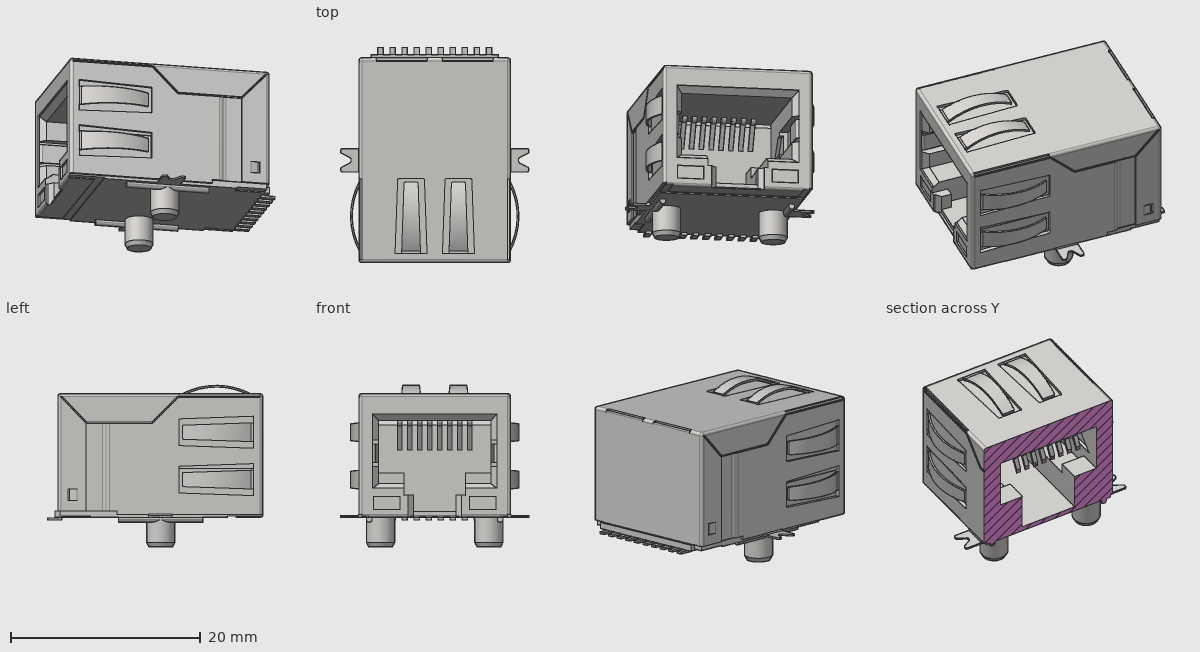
import cadquery as cq
import math


shell_width = 16.0
shell_depth = 21.63
shell_top = 13.04
shell_bottom = 0.30
shell_half = shell_width / 2
edge_radius = 0.32

eps = 0.05
overrun = 1.0

base_width = 15.4
base_half = base_width / 2
rear_relief_start = 15.4
rear_relief_height = 0.67
flange_half = 6.72
flange_back = 21.95
underside_step = 0.13
rear_step_start = 18.2
rear_step_end = 21.4
front_notch_start = 2.85
front_notch_end = 3.75
front_corner_half = 7.0
front_round = 0.27

mouth_half, mouth_low, mouth_high = 6.55, 3.06, 10.90
cavity_half, cavity_low, cavity_high = 5.92, 3.54, 10.19
face_plate = 0.20
mouth_taper = 0.60
mouth_depth = face_plate + mouth_taper
cavity_depth = 13.0
shelf_step_start = 10.0
shelf_step_top = 4.66
wall_chamfer = 0.47

channel_half = 3.22
channel_mouth_half = 2.83
keeper_half = 2.24
keeper_top = 2.33
keeper_lead_in = 0.70
keeper_depth = 1.80
channel_floor = 0.60
sill_top = 0.13
sill_setback = 0.45

groove_mid = 6.75
groove_height = 2.80
groove_half = 6.80
groove_end = 8.0
leaf_height = 2.00
leaf_half = 6.25
leaf_end = 3.60
leaf_thickness = 0.20
recess_half = 6.30
recess_top_end, recess_low_end = 9.0, 11.0

light_inner, light_outer = 3.66, 6.48
light_low, light_high = 0.83, 2.21

contact_count = 8
contact_pitch = 1.054
contact_width = 0.49
contact_thickness = 0.35
contact_low = 7.02
contact_slope_angle = 60
contact_nose_radius = 0.58

finger_spacing = 5.0
finger_side_low = 3.97
window_front, window_back = 0.98, 8.88
window_front_width, window_back_width = 3.38, 2.82
window_depth = 0.30
window_corner = 0.15
finger_arc_start, finger_tip = 1.24, 8.50
finger_front_width, finger_tip_width = 2.0, 1.48
finger_thickness = 0.20
finger_rise = 0.89
finger_radius = 7.65
finger_peak_y = 4.90
side_recess_top = 5.12
side_recess_depth = 0.45

fold_back, fold_front = 21.35, 8.85
fold_low_back, fold_low_front = 18.65, 11.67
fold_high = 12.72
fold_low = 9.90
seam_width = 0.14
seam_depth = 0.10
edge_gap_inner, edge_gap_outer = 7.70, 7.86
jog_back, jog_flat_end, jog_end = 18.65, 16.93, 16.20
jog_depth = 0.20

side_latch_front, side_latch_back = 19.60, 20.58
side_latch_low, side_latch_high = 1.76, 2.98
side_latch_depth = 0.30
side_latch_gap = 0.16

hook_inner, hook_outer = 0.75, 6.20
hook_front = 21.24
hook_taper = 0.08
hook_slot = 0.12
hook_drop = 0.14
hook_round = 0.10

tab_reach = 9.925
tab_front, tab_back = 9.57, 12.05
tab_thickness = 0.18
tab_root = 1.0
tab_bend = 0.07
tab_corner = 0.18
tab_notch_depth = 1.08
tab_notch_width = 1.56
tab_notch_radius = 0.22

peg_diameter = 3.0
peg_x = 5.715
peg_y = 10.78
peg_bottom = -3.13
peg_chamfer_height = 0.48
peg_chamfer_width = 0.25
rib_x = 6.91
rib_width = 0.60
rib_bottom = -0.53
rib_front, rib_back = 6.33, 15.26
lead_count = 10
lead_pitch = 1.27
lead_width = 0.60
lead_top, lead_bottom = -0.07, -0.29
lead_inner, lead_tip = 21.20, 22.72
lead_post = 0.30


def block(x0, x1, y0, y1, z0, z1):
    """Axis-aligned box between opposite corners."""
    size = (x1 - x0, y1 - y0, z1 - z0)
    return cq.Workplane("XY").box(*size, centered=False).translate((x0, y0, z0))


def both_sides(shape):
    """The shape together with its mirror image across X = 0."""
    return shape.union(shape.mirror("YZ"))


def plan_prism(points, z0, z1):
    """Prism standing on an XY outline."""
    return cq.Workplane("XY").workplane(offset=z0).polyline(points).close().extrude(z1 - z0)


def profile_prism(points, x0, x1):
    """Prism along X on a YZ outline."""
    return cq.Workplane("YZ").workplane(offset=x0).polyline(points).close().extrude(x1 - x0)


def make_body():
    shell = block(-shell_half, shell_half, 0, shell_depth, shell_bottom, shell_top)
    shell = shell.edges("|Z or >Z").fillet(edge_radius)
    relief = block(flange_half, shell_half + overrun, rear_relief_start,
                   shell_depth + overrun, -overrun, rear_relief_height)
    base = block(-base_half, base_half, 0, shell_depth - edge_radius, 0, shell_bottom + eps)
    base = base.edges("|X and <Y and <Z").fillet(front_round)
    body = shell.union(base)
    strip = block(flange_half - eps, base_half, rear_relief_start - eps, rear_step_end,
                  0, rear_relief_height + eps)
    flange = block(-flange_half, flange_half, rear_relief_start, flange_back, 0, rear_relief_height)
    body = body.cut(both_sides(relief)).union(both_sides(strip)).union(flange)
    rear_step = block(flange_half, shell_half, rear_step_start, rear_step_end, -overrun, underside_step)
    corner = block(front_corner_half, shell_half, 0, front_notch_end, -overrun, underside_step)
    notch = block(-shell_half, shell_half, front_notch_start, front_notch_end, -overrun, underside_step)
    return body.cut(both_sides(rear_step.union(corner))).cut(notch)


def cut_cavity(body):
    def rectangle(half, low, high, y):
        plane = cq.Workplane("XZ", origin=(0, y, (low + high) / 2))
        return plane.rect(2 * half, high - low)

    mouth = rectangle(mouth_half, mouth_low, mouth_high, face_plate)
    inner_shift = (cavity_low + cavity_high - mouth_low - mouth_high) / 2
    mouth = mouth.workplane(offset=-mouth_taper).center(0, inner_shift)
    mouth = mouth.rect(2 * cavity_half, cavity_high - cavity_low).loft(ruled=True)
    plate_opening = block(-mouth_half, mouth_half, 0, face_plate, mouth_low, mouth_high)
    mouth = mouth.union(plate_opening)
    cavity = block(-cavity_half, cavity_half, mouth_depth - eps, cavity_depth, cavity_low, cavity_high)
    shelf_step = block(channel_half, cavity_half, shelf_step_start, cavity_depth, cavity_low, shelf_step_top)
    cavity = cavity.cut(both_sides(shelf_step))
    wall_slope = [
        (cavity_depth, cavity_high),
        (cavity_depth, cavity_high - wall_chamfer),
        (cavity_depth + wall_chamfer, cavity_high),
    ]
    cavity = cavity.union(profile_prism(wall_slope, -cavity_half, cavity_half))
    channel = block(-channel_half, channel_half, 0, cavity_depth, channel_floor, cavity_low + eps)
    sill = block(-channel_half, channel_half, 0, keeper_lead_in, sill_top, channel_floor + eps)
    entry = block(-channel_half, channel_half, 0, sill_setback, 0, sill_top + eps)
    keeper = plan_prism(
        [
            (channel_half, 0),
            (channel_mouth_half, 0),
            (channel_mouth_half, face_plate),
            (keeper_half, keeper_lead_in),
            (keeper_half, keeper_depth),
            (channel_half, keeper_depth),
        ],
        0,
        keeper_top,
    )
    channel = channel.union(sill).union(entry).cut(both_sides(keeper))
    return body.cut(mouth).cut(cavity).cut(channel)


def make_side_grooves(body):
    """Groove beside the plug, a grounding leaf curling into it, and a slant-ended recess behind."""
    low = groove_mid - groove_height / 2
    leaf_low = groove_mid - leaf_height / 2
    leaf_high = groove_mid + leaf_height / 2
    groove = block(cavity_half - eps, groove_half, face_plate, groove_end, low, low + groove_height)
    recess = profile_prism(
        [
            (groove_end - eps, leaf_low),
            (recess_low_end, leaf_low),
            (recess_top_end, leaf_high),
            (groove_end - eps, leaf_high),
        ],
        cavity_half - eps,
        recess_half,
    )
    bend = mouth_half - leaf_half
    leaf = (
        cq.Workplane("XY")
        .workplane(offset=leaf_low)
        .moveTo(groove_half + eps, face_plate - eps)
        .lineTo(groove_half + eps, face_plate + leaf_thickness)
        .lineTo(mouth_half, face_plate + leaf_thickness)
        .lineTo(leaf_half + leaf_thickness, face_plate + bend)
        .lineTo(leaf_half + leaf_thickness, leaf_end + leaf_thickness)
        .lineTo(leaf_half, leaf_end)
        .lineTo(leaf_half, face_plate - eps + bend)
        .tangentArcPoint((mouth_half, face_plate - eps), relative=False)
        .close()
        .extrude(leaf_height)
    )
    return body.cut(both_sides(groove.union(recess))).union(both_sides(leaf))


def cut_light_windows(body):
    window = block(light_inner, light_outer, 0, face_plate, light_low, light_high)
    return body.cut(both_sides(window))


def add_contacts(body):
    wall = cavity_depth + eps
    root = cavity_high + eps
    nose_low = cavity_high - contact_nose_radius
    slope_start = wall - (nose_low - contact_low) / math.tan(math.radians(contact_slope_angle))
    nose_front = slope_start - contact_nose_radius
    diagonal = contact_nose_radius * math.sqrt(0.5)
    profile = (
        cq.Workplane("YZ")
        .moveTo(nose_front, root)
        .lineTo(nose_front, cavity_high)
        .threePointArc((slope_start - diagonal, cavity_high - diagonal), (slope_start, nose_low))
        .lineTo(wall, contact_low)
        .lineTo(wall, contact_low + contact_thickness)
        .lineTo(slope_start + contact_thickness, nose_low)
        .lineTo(slope_start + contact_thickness, root)
        .close()
    )
    contact = profile.extrude(contact_width / 2, both=True)
    first = -contact_pitch * (contact_count - 1) / 2
    for index in range(contact_count):
        body = body.union(contact.translate((first + index * contact_pitch, 0, 0)))
    return body


def taper_outline(y0, y1, front_width, back_width):
    return [
        (-front_width / 2, y0),
        (front_width / 2, y0),
        (back_width / 2, y1),
        (-back_width / 2, y1),
    ]


def finger_window():
    """Tapered window cutter, its outer surface at Z = 0."""
    outline = taper_outline(window_front, window_back, window_front_width, window_back_width)
    return plan_prism(outline, -window_depth, eps).edges("|Z and >Y").fillet(window_corner)


def finger():
    """Bowed spring finger rooted at the front end of its window, shell surface at Z = 0."""
    centre_z = finger_rise - finger_radius
    inner_radius = finger_radius - finger_thickness

    def on_arc(radius, y):
        return (y, centre_z + math.sqrt(radius**2 - (y - finger_peak_y) ** 2))

    outer_start = on_arc(finger_radius, finger_arc_start)
    inner_start = on_arc(inner_radius, finger_arc_start)
    root = window_front - eps
    strip = (
        cq.Workplane("YZ")
        .moveTo(root, outer_start[1])
        .lineTo(*outer_start)
        .threePointArc(on_arc(finger_radius, finger_peak_y), on_arc(finger_radius, finger_tip))
        .lineTo(*on_arc(inner_radius, finger_tip))
        .threePointArc(on_arc(inner_radius, finger_peak_y), inner_start)
        .lineTo(root, inner_start[1])
        .close()
        .extrude(window_front_width / 2, both=True)
    )
    outline = taper_outline(root, finger_tip, finger_front_width, finger_tip_width)
    blank = plan_prism(outline, -overrun, finger_rise + overrun).edges("|Z and >Y").fillet(window_corner)
    return strip.intersect(blank)


def place_fingers(shape):
    """Copies of a finger shape for the top and both sides."""
    on_top = shape.translate((finger_spacing / 2, 0, shell_top))
    on_side = shape.rotate((0, 0, 0), (0, 1, 0), 90)
    lower = on_side.translate((shell_half, 0, finger_side_low))
    upper = lower.translate((0, 0, finger_spacing))
    return [both_sides(placed) for placed in (on_top, lower, upper)]


def add_fingers(body):
    for window in place_fingers(finger_window()):
        body = body.cut(window)
    half_front = window_front_width / 2
    recess = block(shell_half - side_recess_depth, shell_half, window_front, window_back,
                   finger_side_low - half_front, side_recess_top)
    lower_window = place_fingers(finger_window().translate((0, 0, window_depth - side_recess_depth)))[1]
    body = body.cut(lower_window.intersect(both_sides(recess)))
    for spring in place_fingers(finger()):
        body = body.union(spring)
    return body


def cut_fold_seams(body):
    """Outline the folded-down side flap and part the top panel from the side ahead of it."""
    inside = shell_half - seam_depth
    outer = [
        (fold_back, fold_high),
        (fold_low_back, fold_low),
        (fold_low_front, fold_low),
        (fold_front, fold_high),
    ]
    slope_shift = seam_width * math.sqrt(2)
    corner_shift = slope_shift - seam_width
    inner = [
        (fold_back - slope_shift, fold_high),
        (fold_low_back - corner_shift, fold_low + seam_width),
        (fold_low_front + corner_shift, fold_low + seam_width),
        (fold_front + slope_shift, fold_high),
    ]
    seam = profile_prism(outer, inside, shell_half + eps).cut(profile_prism(inner, inside, shell_half + eps))
    top_seam = block(inside, shell_half + eps, edge_radius, fold_front,
                     fold_high - seam_width / 2, fold_high + seam_width / 2)
    edge_gap = block(edge_gap_inner, edge_gap_outer, edge_radius, fold_front,
                     shell_top - edge_radius, shell_top)
    return body.cut(both_sides(seam.union(top_seam).union(edge_gap)))


def cut_panel_jog(body):
    """Set the side panel inward with an S-bend, under the edge of the rear panel."""
    floor = shell_half - jog_depth
    bend = (jog_flat_end - jog_end) / 2
    middle = (shell_half - jog_depth / 2, jog_flat_end - bend)
    jog = (
        cq.Workplane("XY")
        .workplane(offset=rear_relief_height)
        .moveTo(shell_half, jog_back)
        .lineTo(floor, jog_back)
        .lineTo(floor, jog_flat_end)
        .tangentArcPoint(middle, relative=False)
        .tangentArcPoint((shell_half, jog_end), relative=False)
        .close()
        .extrude(fold_low - rear_relief_height)
    )
    return body.cut(both_sides(jog))


def cut_side_latches(body):
    floor = shell_half - side_latch_depth
    pocket = block(floor, shell_half, side_latch_front, side_latch_back, side_latch_low, side_latch_high)
    ramp = plan_prism(
        [
            (floor, side_latch_front),
            (shell_half, side_latch_front),
            (floor + side_latch_depth / 2, side_latch_back - side_latch_gap),
            (floor, side_latch_back - side_latch_gap),
        ],
        side_latch_low,
        side_latch_high,
    )
    return body.cut(both_sides(pocket.cut(ramp)))


def add_rear_hooks(body):
    top_low = shell_top - edge_radius
    slot = plan_prism(
        [
            (hook_inner, shell_depth),
            (hook_inner + hook_taper, hook_front),
            (hook_outer - hook_taper, hook_front),
            (hook_outer, shell_depth),
        ],
        top_low,
        shell_top,
    )
    hook = block(hook_inner, hook_outer, hook_front + hook_slot, shell_depth,
                 top_low - eps, shell_top - hook_drop)
    hook = hook.edges("|X and >Y and >Z").fillet(hook_round)
    return body.cut(both_sides(slot)).union(both_sides(hook))


def add_solder_tabs(body):
    middle = (tab_front + tab_back) / 2
    plate = block(base_half - tab_root, tab_reach, tab_front, tab_back, 0, tab_thickness)
    notch = plan_prism(
        [
            (tab_reach, middle - tab_notch_width / 2),
            (tab_reach, middle + tab_notch_width / 2),
            (tab_reach - tab_notch_depth, middle + tab_notch_radius),
            (tab_reach - tab_notch_depth, middle - tab_notch_radius),
        ],
        0,
        tab_thickness,
    )
    notch = notch.edges("|Z and <X").fillet(tab_notch_radius)
    plate = plate.cut(notch).edges("|Z and >X").fillet(tab_corner)
    bend = (
        cq.Workplane("XZ", origin=(0, tab_front, 0))
        .polyline([
            (base_half - eps, 0),
            (shell_half + tab_bend, 0),
            (shell_half + tab_bend, tab_thickness),
            (shell_half, shell_bottom + eps),
            (base_half - eps, shell_bottom + eps),
        ])
        .close()
        .extrude(tab_front - tab_back)
    )
    return body.union(both_sides(plate.union(bend)))


def add_pegs_and_ribs(body):
    peg = (
        cq.Workplane("XY", origin=(peg_x, peg_y, peg_bottom))
        .circle(peg_diameter / 2)
        .extrude(eps - peg_bottom)
        .faces("<Z")
        .chamfer(peg_chamfer_height, peg_chamfer_width)
    )
    rib_radius = rib_width / 2
    rib_axis = rib_bottom + rib_radius
    rib = (
        cq.Workplane("XZ", origin=(rib_x, rib_front, 0))
        .moveTo(-rib_radius, eps)
        .lineTo(-rib_radius, rib_axis)
        .threePointArc((0, rib_bottom), (rib_radius, rib_axis))
        .lineTo(rib_radius, eps)
        .close()
        .extrude(rib_front - rib_back)
    )
    return body.union(both_sides(peg.union(rib)))


def add_leads(body):
    first = -lead_pitch * (lead_count - 1) / 2
    for index in range(lead_count):
        left = first + index * lead_pitch - lead_width / 2
        right = left + lead_width
        foot = block(left, right, lead_inner, lead_tip, lead_bottom, lead_top)
        post = block(left, right, lead_inner, lead_inner + lead_post, lead_bottom, eps)
        body = body.union(foot).union(post)
    return body


result = make_body()
result = cut_cavity(result)
result = make_side_grooves(result)
result = cut_light_windows(result)
result = add_contacts(result)
result = cut_fold_seams(result)
result = cut_panel_jog(result)
result = cut_side_latches(result)
result = add_rear_hooks(result)
result = add_fingers(result)
result = add_solder_tabs(result)
result = add_pegs_and_ribs(result)
result = add_leads(result)